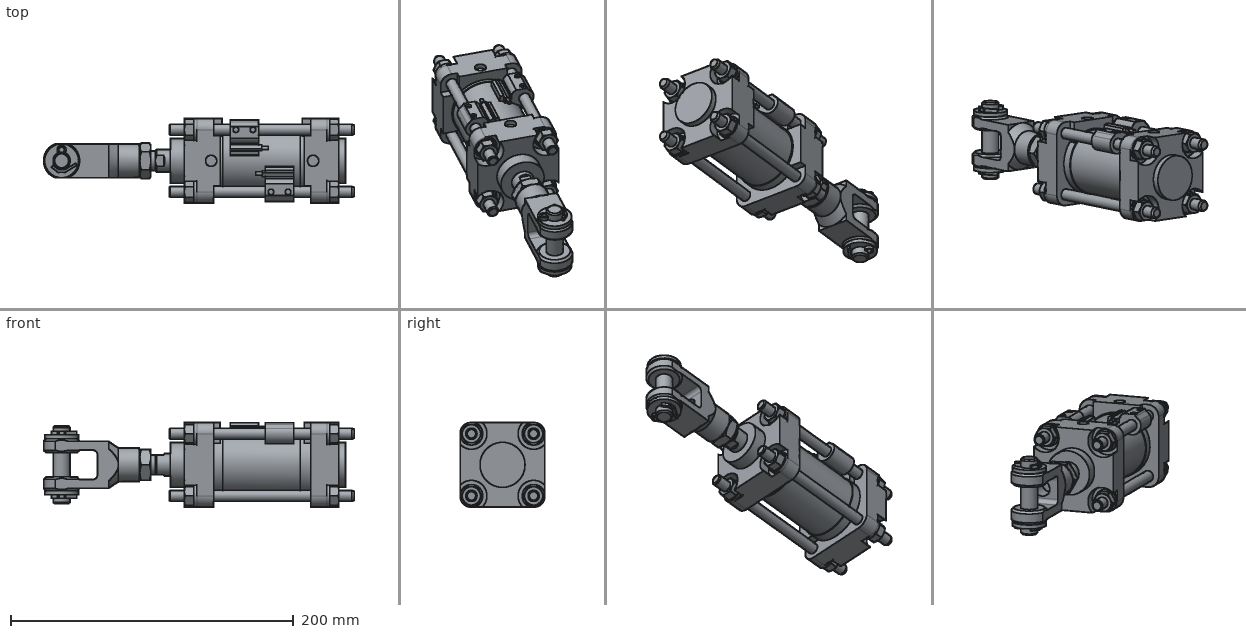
import cadquery as cq
import math


CLEVIS_SLOT_END = 25.3
CLEVIS_BLOCK_END = 33.2
CLEVIS_CONE_END = 40.3
CLEVIS_END = 54.8
ROD_NUT_END = 63.1
ROD_SHOULDER = 66.5
FRONT_BOSS_FACE = 77.0
FRONT_COVER_FACE = 87.0
FRONT_INNER_FACE = 107.5
TUBE_START = 114.2
TUBE_END = 169.0
REAR_INNER_FACE = 176.2
REAR_COVER_FACE = 196.2
REAR_BOSS_FACE = 201.0
TIE_ROD_START = 76.1
TIE_ROD_END = 207.2

EYE_RADIUS = 12.8
CLEVIS_WIDTH = 24.0
FORK_HALF_HEIGHT = 16.7
SLOT_HALF_HEIGHT = 10.3
SLOT_CORNER_RADIUS = 3.3
EYE_BOSS_RISE = 1.8

PIN_DIAMETER = 12.0
PIN_HALF_LENGTH = 27.5
PIN_CHAMFER = 1.0
WASHER_DIAMETER = 24.0
WASHER_THICKNESS = 2.9
SPLIT_PIN_HEIGHT = 2.5
SPLIT_PIN_RING_DIAMETER = 6.4
SPLIT_PIN_RING_HOLE = 4.0
SPLIT_PIN_RING_Y = 7.7
SPLIT_PIN_LEG_WIDTH = 1.8
SPLIT_PIN_BEND_X = 2.2
SPLIT_PIN_BEND_Y = -7.3
SPLIT_PIN_LEFT_TIP = (-6.0, -4.5)
SPLIT_PIN_RIGHT_TIP = (9.7, -2.9)

THREAD_DIAMETER = 11.5
THREAD_START = CLEVIS_CONE_END
NUT_FACE_THICKNESS = 0.7
NUT_CHAMFER_ANGLE = 30
ROD_DIAMETER = 16.0
ROD_NECK_DIAMETER = 14.0
ROD_NUT_ACROSS_FLATS = 22.0
ROD_CHAMFER = 0.9
WRENCH_FLAT_SPACING = ROD_NECK_DIAMETER
WRENCH_FLAT_END = 72.2

BOSS_DIAMETER = 32.0
TUBE_DIAMETER = 46.0
COLLAR_DIAMETER = 47.0
TOP_LUG_WIDTH = 35.6
SIDE_LUG_WIDTH = 31.7
TOP_LUG_LENGTH = 4.6
SIDE_LUG_LENGTH = 6.0
PORT_DIAMETER = 8.0
PORT_DEPTH = 3.5
PORT_FROM_INNER_FACE = 1.8

TIE_ROD_DIAMETER = 8.0
TIE_ROD_OFFSET = 22.0
TIE_ROD_CHAMFER = 0.9
TIE_ROD_END_CHAMFER_LENGTH = 1.8
TIE_NUT_ACROSS_FLATS = 13.0
TIE_WASHER_DIAMETER = 16.0
TIE_WASHER_THICKNESS = 2.0
SPOT_FACE_DIAMETER = 22.0
SPOT_FACE_DEPTH = 8.5
COVER_SIZE = 2 * TIE_ROD_OFFSET + TIE_WASHER_DIAMETER

SWITCH_LENGTH = 20.2
FRONT_SWITCH_START = 119.2
REAR_SWITCH_START = 144.0
CLAMP_RADIUS = 7.0
CLAMP_FACET_HEIGHT = 4.0
CLAMP_FACET_TOP = (-3.0, 6.5)
CLAMP_MOUTH_INWARD = 3.5
HEAD_HEIGHT = 8.0
HEAD_OUTER_EDGE = -2.2
HEAD_INNER_EDGE = 6.0
HEAD_ROUND_MIDDLE = (8.1, 6.4)
SLOT_INNER_LIP = (9.5, 4.0)
ARM_CREST = (15.2, 5.5)
ARM_SHOULDER = (17.5, 4.6)
ARM_TOE = (18.3, 2.0)
ARM_HEEL = (9.5, -2.2)
SENSOR_SLOT_FLOOR = 1.0
SENSOR_OUTLINE = [(10.8, 0), (10.8, 3.7), (13.5, 5.3), (15.0, 4.2), (15.0, 0)]
SENSOR_OVERHANG = 2.2
CABLE_CENTER = (13.0, 3.0)
CABLE_DIAMETER = 2.5
CABLE_LENGTH = 4.6
SCREW_HOLE_DIAMETER = 4.0
SCREW_HOLE_SPACING = 12.0
SCREW_HOLE_DEPTH = 1.8

TIE_ROD_SIDES = (-TIE_ROD_OFFSET, TIE_ROD_OFFSET)
TIE_ROD_CENTERS = [(y, z) for y in TIE_ROD_SIDES for z in TIE_ROD_SIDES]


def x_cylinder(diameter, start, end, y=0.0, z=0.0):
    """Cylinder along X between two stations."""
    return cq.Workplane("YZ", origin=(start, y, z)).circle(diameter / 2).extrude(end - start)


def z_cylinder(diameter, bottom, top):
    """Cylinder along Z about the clevis pin axis."""
    return cq.Workplane("XY", origin=(0, 0, bottom)).circle(diameter / 2).extrude(top - bottom)


def block(x_range, y_range, z_range):
    """Box between two limits on each axis."""
    size = [high - low for low, high in (x_range, y_range, z_range)]
    corner = (x_range[0], y_range[0], z_range[0])
    return cq.Workplane("XY", origin=corner).box(*size, centered=False)


def hex_nut(across_flats, start, end, chamfered_faces):
    """Hexagonal nut along X, flats up and down, with its corners turned off at the chosen faces."""
    across_corners = across_flats * 2 / math.sqrt(3)
    corner_chamfer = (across_corners - across_flats) / 2
    chamfer_length = corner_chamfer * math.tan(math.radians(NUT_CHAMFER_ANGLE))
    turned = x_cylinder(across_corners, start, end)
    for face in chamfered_faces:
        turned = turned.faces(face).chamfer(chamfer_length, corner_chamfer)
    hexagon = cq.Workplane("YZ", origin=(start, 0, 0)).polygon(6, across_corners).extrude(end - start)
    return hexagon.intersect(turned)


def eye_boss(face, direction):
    """Conical boss on a fork leg, raised along Z from the given height."""
    base = cq.Vector(0, 0, face)
    axis = cq.Vector(0, 0, direction)
    cone = cq.Solid.makeCone(EYE_RADIUS, EYE_RADIUS - EYE_BOSS_RISE, EYE_BOSS_RISE, base, axis)
    return cq.Workplane(cone)


def make_clevis():
    width = (-CLEVIS_WIDTH / 2, CLEVIS_WIDTH / 2)
    full_height = (-FORK_HALF_HEIGHT, FORK_HALF_HEIGHT)
    slot_height = (-SLOT_HALF_HEIGHT, SLOT_HALF_HEIGHT)

    slot = block((-2 * EYE_RADIUS, CLEVIS_SLOT_END), (-CLEVIS_WIDTH, CLEVIS_WIDTH), slot_height)
    slot = slot.edges(">X and |Y").fillet(SLOT_CORNER_RADIUS)

    eye = z_cylinder(2 * EYE_RADIUS, *full_height)
    for side in (-1, 1):
        eye = eye.union(eye_boss(side * FORK_HALF_HEIGHT, side))
        slot = slot.cut(eye_boss(side * SLOT_HALF_HEIGHT, -side))
    shank = (
        cq.Workplane("XZ")
        .moveTo(0, 0)
        .lineTo(0, FORK_HALF_HEIGHT)
        .lineTo(CLEVIS_BLOCK_END, FORK_HALF_HEIGHT)
        .lineTo(CLEVIS_CONE_END, CLEVIS_WIDTH / 2)
        .lineTo(CLEVIS_END, CLEVIS_WIDTH / 2)
        .lineTo(CLEVIS_END, 0)
        .close()
        .revolve(360, (0, 0, 0), (1, 0, 0))
    )
    sides = block((-EYE_RADIUS, CLEVIS_END), width, (-PIN_HALF_LENGTH, PIN_HALF_LENGTH))
    body = block((0, CLEVIS_BLOCK_END), width, full_height).union(eye.union(shank).intersect(sides))

    pin_hole = z_cylinder(PIN_DIAMETER, -PIN_HALF_LENGTH, PIN_HALF_LENGTH)
    thread_hole = x_cylinder(THREAD_DIAMETER, 0, CLEVIS_END)
    return body.cut(slot).cut(pin_hole).cut(thread_hole)


def split_pin_bar(start, end, bottom):
    """Straight bar of the split pin between two points in XY."""
    run = end[0] - start[0]
    rise = end[1] - start[1]
    middle = (start[0] + run / 2, start[1] + rise / 2)
    return (
        cq.Workplane("XY", origin=(*middle, bottom))
        .transformed(rotate=(0, 0, math.degrees(math.atan2(rise, run))))
        .rect(math.hypot(run, rise) + SPLIT_PIN_LEG_WIDTH, SPLIT_PIN_LEG_WIDTH)
        .extrude(SPLIT_PIN_HEIGHT)
    )


def make_clevis_pin():
    pin = z_cylinder(PIN_DIAMETER, -PIN_HALF_LENGTH, PIN_HALF_LENGTH).faces("<Z or >Z").chamfer(PIN_CHAMFER)
    washer_bottom = FORK_HALF_HEIGHT + EYE_BOSS_RISE
    washer_top = washer_bottom + WASHER_THICKNESS
    ring = (
        cq.Workplane("XY", origin=(0, SPLIT_PIN_RING_Y, washer_top))
        .circle(SPLIT_PIN_RING_DIAMETER / 2)
        .circle(SPLIT_PIN_RING_HOLE / 2)
        .extrude(SPLIT_PIN_HEIGHT)
    )
    fastening = z_cylinder(WASHER_DIAMETER, washer_bottom, washer_top).union(ring)
    left_bend = (-SPLIT_PIN_BEND_X, SPLIT_PIN_BEND_Y)
    right_bend = (SPLIT_PIN_BEND_X, SPLIT_PIN_BEND_Y)
    path = [SPLIT_PIN_LEFT_TIP, left_bend, right_bend, SPLIT_PIN_RIGHT_TIP]
    for start, end in zip(path, path[1:]):
        fastening = fastening.union(split_pin_bar(start, end, washer_top))
    return pin.union(fastening).union(fastening.mirror("XY"))


def make_piston_rod():
    thread = x_cylinder(THREAD_DIAMETER, THREAD_START, CLEVIS_END)
    hexagon_start = CLEVIS_END + NUT_FACE_THICKNESS
    nut_face = x_cylinder(ROD_NUT_ACROSS_FLATS, CLEVIS_END, hexagon_start)
    nut = hex_nut(ROD_NUT_ACROSS_FLATS, hexagon_start, ROD_NUT_END, ("<X", ">X"))
    neck = x_cylinder(ROD_NECK_DIAMETER, ROD_NUT_END, ROD_SHOULDER)
    rod = x_cylinder(ROD_DIAMETER, ROD_SHOULDER, FRONT_BOSS_FACE).faces("<X").chamfer(ROD_CHAMFER)
    flat_depth = (ROD_DIAMETER - WRENCH_FLAT_SPACING) / 2
    for side in (-1, 1):
        flat_cutter = (
            cq.Workplane("XZ")
            .moveTo(ROD_SHOULDER, side * WRENCH_FLAT_SPACING / 2)
            .lineTo(WRENCH_FLAT_END, side * WRENCH_FLAT_SPACING / 2)
            .lineTo(WRENCH_FLAT_END + flat_depth, side * ROD_DIAMETER / 2)
            .lineTo(ROD_SHOULDER, side * ROD_DIAMETER / 2)
            .close()
            .extrude(ROD_DIAMETER / 2, both=True)
        )
        rod = rod.cut(flat_cutter)
    return thread.union(nut_face).union(nut).union(neck).union(rod)


def make_cover(boss_face, outer_face, inner_face, tube_end):
    """End cover, given its stations from the boss face to the end of the tube."""
    inward = math.copysign(1, inner_face - outer_face)
    half = COVER_SIZE / 2
    plate = block(sorted((outer_face, inner_face)), (-half, half), (-half, half))
    plate = plate.edges("|X").fillet(half - TIE_ROD_OFFSET)
    collar = x_cylinder(COLLAR_DIAMETER, *sorted((inner_face, tube_end)))
    boss = x_cylinder(BOSS_DIAMETER, *sorted((outer_face, boss_face)))
    top_lug_x = sorted((inner_face, inner_face + inward * TOP_LUG_LENGTH))
    side_lug_x = sorted((inner_face, inner_face + inward * SIDE_LUG_LENGTH))
    top_lug = block(top_lug_x, (-TOP_LUG_WIDTH / 2, TOP_LUG_WIDTH / 2), (0, half))
    side_lug = block(side_lug_x, (0, half), (-SIDE_LUG_WIDTH / 2, SIDE_LUG_WIDTH / 2))
    cover = plate.union(collar).union(boss).union(top_lug).union(side_lug)

    seat = outer_face + inward * SPOT_FACE_DEPTH
    for y, z in TIE_ROD_CENTERS:
        cover = cover.cut(x_cylinder(SPOT_FACE_DIAMETER, *sorted((outer_face, seat)), y, z))
        cover = cover.union(make_tie_rod_fastening(outer_face, seat, inward, y, z))

    port_x = inner_face - inward * PORT_FROM_INNER_FACE
    port = cq.Workplane("XY", origin=(port_x, 0, half - PORT_DEPTH)).circle(PORT_DIAMETER / 2).extrude(PORT_DEPTH)
    return cover.cut(port)


def make_tie_rod_fastening(outer_face, seat, inward, y, z):
    """Washer and nut that fill the spot face at one corner of a cover."""
    washer_face = seat - inward * TIE_WASHER_THICKNESS
    washer = x_cylinder(TIE_WASHER_DIAMETER, *sorted((seat, washer_face)), y, z)
    outer_end = "<X" if inward > 0 else ">X"
    nut = hex_nut(TIE_NUT_ACROSS_FLATS, *sorted((outer_face, washer_face)), (outer_end,))
    return washer.union(nut.translate((0, y, z)))


def make_housing():
    housing = x_cylinder(TUBE_DIAMETER, TUBE_START, TUBE_END)
    housing = housing.union(make_cover(FRONT_BOSS_FACE, FRONT_COVER_FACE, FRONT_INNER_FACE, TUBE_START))
    housing = housing.union(make_cover(REAR_BOSS_FACE, REAR_COVER_FACE, REAR_INNER_FACE, TUBE_END))
    for y, z in TIE_ROD_CENTERS:
        tie_rod = x_cylinder(TIE_ROD_DIAMETER, TIE_ROD_START, TIE_ROD_END, y, z)
        tie_rod = tie_rod.faces("<X").chamfer(TIE_ROD_CHAMFER)
        tie_rod = tie_rod.faces(">X").chamfer(TIE_ROD_END_CHAMFER_LENGTH, TIE_ROD_CHAMFER)
        housing = housing.union(tie_rod)
    return housing


def switch_plane(x):
    """YZ plane at one station, with its origin on the upper tie rod at -Y and inward as its first axis."""
    return cq.Workplane("YZ", origin=(x, -TIE_ROD_OFFSET, TIE_ROD_OFFSET))


def make_switch():
    """Switch on the upper tie rod at -Y, with one end at X = 0 and its cable toward -X."""
    diagonal = CLAMP_RADIUS / math.sqrt(2)
    facet_bottom = (-math.sqrt(CLAMP_RADIUS**2 - CLAMP_FACET_HEIGHT**2), CLAMP_FACET_HEIGHT)
    mouth = (CLAMP_MOUTH_INWARD, -math.sqrt(CLAMP_RADIUS**2 - CLAMP_MOUTH_INWARD**2))
    tube_axis_height = -TIE_ROD_OFFSET
    switch = (
        switch_plane(0)
        .moveTo(HEAD_OUTER_EDGE, HEAD_HEIGHT)
        .lineTo(HEAD_INNER_EDGE, HEAD_HEIGHT)
        .threePointArc(HEAD_ROUND_MIDDLE, SLOT_INNER_LIP)
        .lineTo(SLOT_INNER_LIP[0], SENSOR_SLOT_FLOOR)
        .lineTo(ARM_CREST[0], SENSOR_SLOT_FLOOR)
        .lineTo(*ARM_CREST)
        .lineTo(*ARM_SHOULDER)
        .lineTo(*ARM_TOE)
        .lineTo(ARM_TOE[0], tube_axis_height)
        .lineTo(ARM_HEEL[0], tube_axis_height)
        .lineTo(*ARM_HEEL)
        .lineTo(*mouth)
        .threePointArc((-diagonal, -diagonal), facet_bottom)
        .lineTo(*CLAMP_FACET_TOP)
        .close()
        .extrude(SWITCH_LENGTH)
    )
    sensor = (
        switch_plane(-SENSOR_OVERHANG)
        .polyline(SENSOR_OUTLINE)
        .close()
        .extrude(SWITCH_LENGTH + SENSOR_OVERHANG)
    )
    cable = (
        switch_plane(-SENSOR_OVERHANG - CABLE_LENGTH)
        .center(*CABLE_CENTER)
        .circle(CABLE_DIAMETER / 2)
        .extrude(CABLE_LENGTH)
    )
    screw_holes = (
        cq.Workplane("XY", origin=(SWITCH_LENGTH / 2, -TIE_ROD_OFFSET, TIE_ROD_OFFSET + HEAD_HEIGHT))
        .rarray(SCREW_HOLE_SPACING, 2.2, 2, 1)
        .circle(SCREW_HOLE_DIAMETER / 2)
        .extrude(-SCREW_HOLE_DEPTH)
    )
    tie_rod = switch_plane(0).circle(TIE_ROD_DIAMETER / 2).extrude(SWITCH_LENGTH)
    tube = x_cylinder(TUBE_DIAMETER, 0, SWITCH_LENGTH)
    return switch.union(sensor).union(cable).cut(screw_holes).cut(tie_rod).cut(tube)


clevis = make_clevis()
clevis_pin = make_clevis_pin()
piston_rod = make_piston_rod()
housing = make_housing()
switches = []
for start, turn in ((FRONT_SWITCH_START + SWITCH_LENGTH, 180), (REAR_SWITCH_START, 0)):
    switch = make_switch().rotate((0, 0, 0), (0, 0, 1), turn).translate((start, 0, 0))
    switches.append(switch.val())

result = cq.Compound.makeCompound(
    [clevis.val(), clevis_pin.val(), piston_rod.val(), housing.val(), *switches]
)